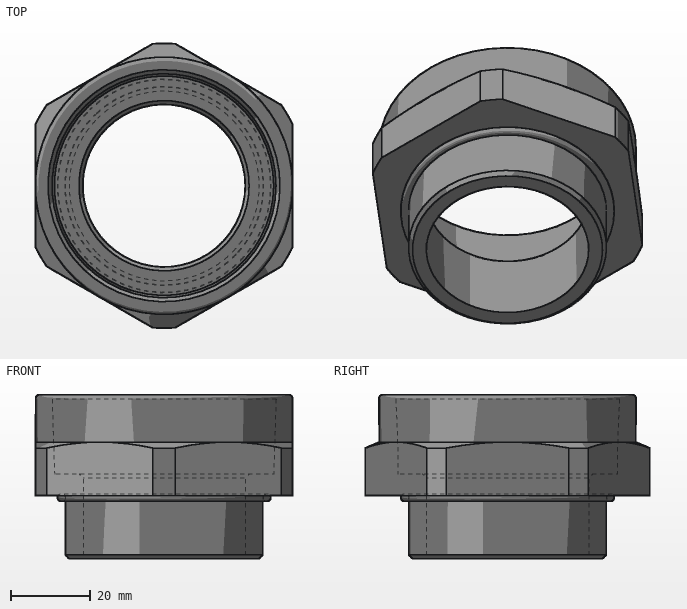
import cadquery as cq
import math

total_height = 41.5
hex_bottom = 16.0
hex_top = 29.5
hex_corner_drop = 1.5
socket_depth = 20.0
socket_floor = total_height - socket_depth

across_flats = 65.0
corner_radius = 36.0
collar_radius = across_flats / 2
spigot_radius = 25.0
bore_radius = 20.5
socket_mouth_radius = 28.3
socket_floor_radius = 27.7

edge_size = 1.0

ring_wire_radius = 1.0
ring_centre_radius = spigot_radius + ring_wire_radius
ring_centre_height = 15.5


def revolve_profile(profile):
    """Turn a closed radius/height profile about the Z axis."""
    return profile.close().revolve(360, (0, 0, 0), (0, 1, 0))


def make_ring():
    section = cq.Workplane("XZ").center(ring_centre_radius, ring_centre_height).circle(ring_wire_radius)
    return section.revolve(360, (-ring_centre_radius, 0, 0), (-ring_centre_radius, 1, 0))


def make_hexagon():
    corner_to_corner = across_flats / math.cos(math.pi / 6)
    prism = (
        cq.Workplane("XY", origin=(0, 0, hex_bottom))
        .polygon(6, corner_to_corner)
        .extrude(hex_top - hex_bottom)
        .rotate((0, 0, 0), (0, 0, 1), 30)
    )
    turned_limit = revolve_profile(
        cq.Workplane("XZ")
        .moveTo(0, hex_bottom)
        .lineTo(corner_radius, hex_bottom)
        .lineTo(corner_radius, hex_top - hex_corner_drop)
        .lineTo(collar_radius, hex_top)
        .lineTo(0, hex_top)
    )
    return prism.intersect(turned_limit)


def make_collar():
    return (
        cq.Workplane("XY", origin=(0, 0, hex_top))
        .circle(collar_radius)
        .extrude(total_height - hex_top)
        .faces(">Z")
        .edges()
        .fillet(edge_size)
    )


def make_spigot():
    return (
        cq.Workplane("XY")
        .circle(spigot_radius)
        .extrude(hex_bottom)
        .faces("<Z")
        .edges()
        .chamfer(edge_size)
    )


def make_passage():
    """Through bore opening into the tapered socket, with chamfered mouths."""
    return revolve_profile(
        cq.Workplane("XZ")
        .lineTo(bore_radius, 0)
        .lineTo(bore_radius, socket_floor - edge_size)
        .lineTo(bore_radius + edge_size, socket_floor)
        .lineTo(socket_floor_radius, socket_floor)
        .lineTo(socket_mouth_radius, total_height - edge_size)
        .lineTo(socket_mouth_radius + edge_size, total_height)
        .lineTo(0, total_height)
    )


ring = make_ring()
fitting = make_hexagon().union(make_collar()).union(make_spigot()).cut(make_passage()).cut(ring)

result = cq.Compound.makeCompound([fitting.solids().val(), ring.val()])